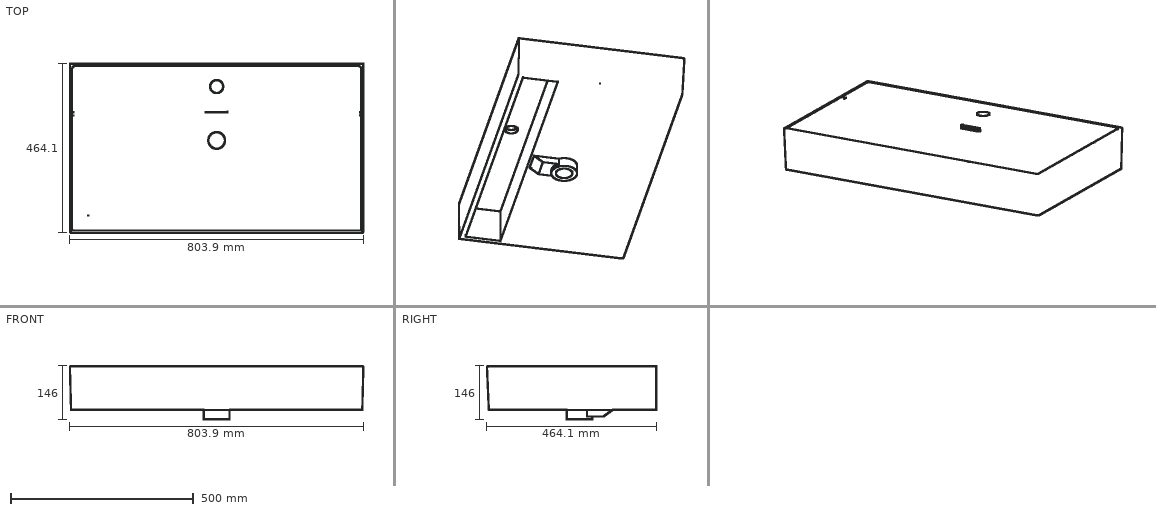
import cadquery as cq
import math

WIDTH = 803.87
DEPTH = 464.12
HEIGHT = 120.0
SIDE_DRAFT = 3.0
FRONT_DRAFT = 5.0
RIM_BAND = 5.0
RIM_ROUND = 4.0
FRONT_CORNER_RADIUS = 6.0
BOTTOM_ROUND = 1.5

RIM_WIDTH = 6.5
SHELF_DROP = 9.0
SHELF_FRONT = 127.5
SHELF_WALL_LEAN = 2.0
SHELF_CORNER_RADIUS = 8.0
SHELF_FLOOR_ROUND = 7.0
SHELF_LIP_ROUND = 5.0
SHELF_OVERLAP = 15.0
TAP_HOLE_DIAMETER = 35.0
TAP_HOLE_FROM_BACK = 63.0

SHELF_THICKNESS = 12.0
HOLLOW_WALL = 15.0

BOWL_DROP = 87.0
BOWL_SIDE_LEAN = 35.0
BOWL_FRONT_LEAN = 44.5
BOWL_REAR_LEAN = 17.5
BOWL_TOP_CORNER_RADIUS = 3.0
FLOOR_REAR_CORNER_RADIUS = 24.0
FLOOR_FRONT_CORNER_RADIUS = 17.0
BOWL_FLOOR_ROUND = 10.5
FLOOR_DIP = 11.0
FLOOR_GRID = 16

DRAIN_FROM_BACK = 210.5
DRAIN_DIAMETER = 45.0
DRAIN_SEAT_DIAMETER = 77.0
DRAIN_SEAT_DEPTH = 13.0
DRAIN_LIP_ROUND = 3.0
SPIGOT_DIAMETER = 71.0
SPIGOT_LENGTH = 26.0

SLOT_WIDTH = 60.0
SLOT_HEIGHT = 10.0
SLOT_CORNER_RADIUS = 2.5
SLOT_DROP = 30.0
SLOT_DEPTH = 12.0
CHANNEL_WIDTH = 58.0
CHANNEL_DEPTH = 18.0
CHANNEL_START = 120.0
CHANNEL_FLAT_START = 145.0

SHELF_Z = HEIGHT - SHELF_DROP
BOWL_HALF_WIDTH = WIDTH / 2 - RIM_WIDTH
BOWL_REAR = -SHELF_FRONT
BOWL_FRONT = -DEPTH + RIM_WIDTH
FLOOR_HALF_WIDTH = BOWL_HALF_WIDTH - BOWL_SIDE_LEAN
FLOOR_FRONT = BOWL_FRONT + BOWL_FRONT_LEAN
FLOOR_REAR = BOWL_REAR - BOWL_REAR_LEAN


def rounded_outline(half_width, back, front, back_radius, front_radius, z):
    """Closed rectangle in plan; a corner radius of zero leaves those corners sharp."""
    corners = [
        (1, front, 1, front_radius),
        (1, back, -1, back_radius),
        (-1, back, -1, back_radius),
        (-1, front, 1, front_radius),
    ]
    outline = cq.Workplane("XY", origin=(0, 0, z)).moveTo(0, front)
    for side, y, inward, radius in corners:
        x = side * half_width
        along_x = (x - side * radius, y)
        along_y = (x, y + inward * radius)
        inset = radius * (1 - math.sqrt(0.5))
        middle = (x - side * inset, y + inward * inset)
        start, end = (along_x, along_y) if side == inward else (along_y, along_x)
        outline = outline.lineTo(*start)
        if radius > 0:
            outline = outline.threePointArc(middle, end)
    return outline.close().wires().val()


def tapered_solid(lower, upper):
    return cq.Workplane(cq.Solid.makeLoft([lower, upper], True))


def make_block():
    half = WIDTH / 2
    band_z = HEIGHT - RIM_BAND
    radius = FRONT_CORNER_RADIUS
    band_outline = rounded_outline(half, 0, -DEPTH, 0, radius, band_z)
    foot_outline = rounded_outline(half - SIDE_DRAFT, 0, -DEPTH + FRONT_DRAFT, 0, radius, 0)
    foot = tapered_solid(foot_outline, band_outline).faces("<Z").edges("not >Y").fillet(BOTTOM_ROUND)
    band = cq.Workplane(cq.Solid.extrudeLinear(band_outline, [], cq.Vector(0, 0, RIM_BAND)))
    band = band.faces(">Z").edges("not >Y").fillet(RIM_ROUND)
    return foot.union(band)


def make_shelf_cut():
    half = BOWL_HALF_WIDTH
    lean = SHELF_WALL_LEAN
    radius = SHELF_CORNER_RADIUS
    front = BOWL_REAR - SHELF_OVERLAP
    lower = rounded_outline(half - lean, -RIM_WIDTH - lean, front, radius, 0, SHELF_Z)
    upper = rounded_outline(half, -RIM_WIDTH, front, radius, 0, HEIGHT)
    return tapered_solid(lower, upper).faces("<Z").edges("not <Y").fillet(SHELF_FLOOR_ROUND)


def floor_height(x, y):
    """Level along the front and sides, sinking smoothly to the middle of the rear edge."""
    across = (1 + math.cos(math.pi * x / FLOOR_HALF_WIDTH)) / 2
    along = math.sin(math.pi / 2 * (y - FLOOR_FRONT) / (FLOOR_REAR - FLOOR_FRONT))
    return HEIGHT - BOWL_DROP - FLOOR_DIP * across * along


def make_space_above_floor():
    steps = [i / FLOOR_GRID for i in range(FLOOR_GRID + 1)]
    xs = [BOWL_HALF_WIDTH * (2 * step - 1) for step in steps]
    ys = [BOWL_FRONT * (1 - step) for step in steps]
    points = [[cq.Vector(x, y, floor_height(x, y)) for y in ys] for x in xs]
    floor = cq.Face.makeSplineApprox(points)
    return cq.Workplane(cq.Solid.extrudeLinear(floor, cq.Vector(0, 0, HEIGHT)))


def make_bowl_cut():
    top_radius = BOWL_TOP_CORNER_RADIUS
    foot_drop = BOWL_DROP + 2 * FLOOR_DIP
    reach = foot_drop / BOWL_DROP
    upper = rounded_outline(BOWL_HALF_WIDTH, BOWL_REAR, BOWL_FRONT, top_radius, top_radius, HEIGHT)
    lower = rounded_outline(
        BOWL_HALF_WIDTH - BOWL_SIDE_LEAN * reach,
        BOWL_REAR - BOWL_REAR_LEAN * reach,
        BOWL_FRONT + BOWL_FRONT_LEAN * reach,
        FLOOR_REAR_CORNER_RADIUS, FLOOR_FRONT_CORNER_RADIUS, HEIGHT - foot_drop,
    )
    bowl = tapered_solid(lower, upper).intersect(make_space_above_floor())
    return bowl.faces("<Z").edges().fillet(BOWL_FLOOR_ROUND)


def make_slot_cut():
    wall_y = BOWL_REAR - BOWL_REAR_LEAN * SLOT_DROP / BOWL_DROP
    return (
        cq.Workplane("XY")
        .box(SLOT_WIDTH, 2 * SLOT_DEPTH, SLOT_HEIGHT)
        .edges("|Y").fillet(SLOT_CORNER_RADIUS)
        .translate((0, wall_y, HEIGHT - SLOT_DROP))
    )


def make_channel():
    return (
        cq.Workplane("YZ")
        .polyline([
            (-CHANNEL_START, 0),
            (-CHANNEL_FLAT_START, -CHANNEL_DEPTH),
            (-DRAIN_FROM_BACK, -CHANNEL_DEPTH),
            (-DRAIN_FROM_BACK, 0),
        ])
        .close()
        .extrude(CHANNEL_WIDTH / 2, both=True)
    )


def make_spigot():
    return (
        cq.Workplane("XY").center(0, -DRAIN_FROM_BACK)
        .circle(SPIGOT_DIAMETER / 2).extrude(-SPIGOT_LENGTH)
    )


def make_drain_cut():
    floor_z = floor_height(0, -DRAIN_FROM_BACK)
    bore_radius = DRAIN_DIAMETER / 2
    flare = (DRAIN_SEAT_DIAMETER / 2 - bore_radius) / DRAIN_SEAT_DEPTH
    bore = (
        cq.Workplane("XY", origin=(0, -DRAIN_FROM_BACK, -SPIGOT_LENGTH))
        .circle(bore_radius).extrude(SPIGOT_LENGTH + floor_z)
    )
    seat_height = DRAIN_SEAT_DEPTH + FLOOR_DIP
    seat = cq.Workplane(cq.Solid.makeCone(
        bore_radius, bore_radius + flare * seat_height, seat_height,
        cq.Vector(0, -DRAIN_FROM_BACK, floor_z - DRAIN_SEAT_DEPTH),
    ))
    return bore.union(seat)


def make_tap_hole_cut():
    return (
        cq.Workplane("XY").center(0, -TAP_HOLE_FROM_BACK)
        .circle(TAP_HOLE_DIAMETER / 2).extrude(HEIGHT)
    )


def make_hollow_cut():
    front = BOWL_REAR + HOLLOW_WALL
    return cq.Workplane("XY").box(
        WIDTH - 2 * (SIDE_DRAFT + HOLLOW_WALL),
        -HOLLOW_WALL - front,
        SHELF_Z - SHELF_THICKNESS,
        centered=(True, False, False),
    ).translate((0, front, 0))


def round_drain_lip(basin):
    """Round the rim where the drain seat opens into the bowl floor."""
    reach = DRAIN_SEAT_DIAMETER / 2 + DRAIN_LIP_ROUND
    rim_z = floor_height(0, -DRAIN_FROM_BACK)
    lip = cq.selectors.BoxSelector(
        (-reach, -DRAIN_FROM_BACK - reach, rim_z - DRAIN_LIP_ROUND),
        (reach, -DRAIN_FROM_BACK + reach, rim_z + DRAIN_LIP_ROUND),
    )
    return basin.edges(lip).fillet(DRAIN_LIP_ROUND)


def round_shelf_lip(basin):
    """Round the long edge where the shelf turns down into the bowl."""
    reach = SHELF_LIP_ROUND / 2
    lip = cq.selectors.BoxSelector(
        (-FLOOR_HALF_WIDTH, BOWL_REAR - reach, SHELF_Z - reach),
        (FLOOR_HALF_WIDTH, BOWL_REAR + reach, SHELF_Z + reach),
    )
    return basin.edges(lip).fillet(SHELF_LIP_ROUND)


result = make_block().cut(make_shelf_cut()).cut(make_bowl_cut())
result = round_shelf_lip(result)
result = result.union(make_channel()).union(make_spigot())
result = round_drain_lip(result.cut(make_drain_cut()))
result = result.cut(make_hollow_cut()).cut(make_slot_cut()).cut(make_tap_hole_cut())